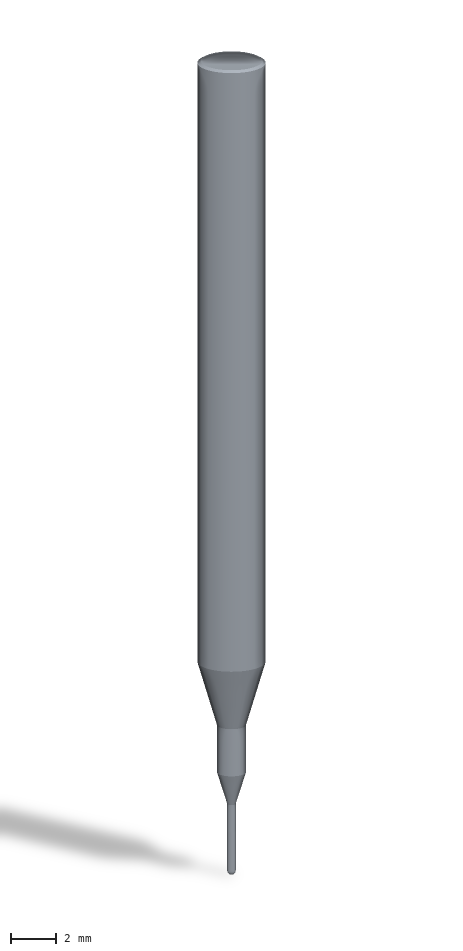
import cadquery as cq
import math

TOTAL_LENGTH = 37.5
SHANK_DIAMETER = 3.0
COLLAR_DIAMETER = 1.28
TIP_DIAMETER = 0.38

HEAD_TOP = 2.0
NECK_TOP = 3.25
COLLAR_BOTTOM = 4.72
COLLAR_TOP = 6.9
SHANK_BOTTOM = 9.82

BEVEL_WIDTH = 0.15
BEVEL_HEIGHT = 0.085

shank_radius = SHANK_DIAMETER / 2
collar_radius = COLLAR_DIAMETER / 2
tip_radius = TIP_DIAMETER / 2


def make_holder():
    """Shank, two cones, collar and neck as one turned body."""
    return (
        cq.Workplane("XZ")
        .moveTo(0, HEAD_TOP)
        .lineTo(tip_radius, HEAD_TOP)
        .lineTo(tip_radius, NECK_TOP)
        .lineTo(collar_radius, COLLAR_BOTTOM)
        .lineTo(collar_radius, COLLAR_TOP)
        .lineTo(shank_radius, SHANK_BOTTOM)
        .lineTo(shank_radius, TOTAL_LENGTH - BEVEL_HEIGHT)
        .lineTo(shank_radius - BEVEL_WIDTH, TOTAL_LENGTH)
        .lineTo(0, TOTAL_LENGTH)
        .close()
        .revolve(360, (0, 0, 0), (0, 1, 0))
    )


def make_cutting_head():
    """Thin cylinder with a hemispherical lower end, butting against the neck."""
    arc_offset = tip_radius * math.sqrt(0.5)
    return (
        cq.Workplane("XZ")
        .moveTo(0, 0)
        .threePointArc((arc_offset, tip_radius - arc_offset), (tip_radius, tip_radius))
        .lineTo(tip_radius, HEAD_TOP)
        .lineTo(0, HEAD_TOP)
        .close()
        .revolve(360, (0, 0, 0), (0, 1, 0))
    )


holder = make_holder()
cutting_head = make_cutting_head()

result = cq.Compound.makeCompound([holder.val(), cutting_head.val()])